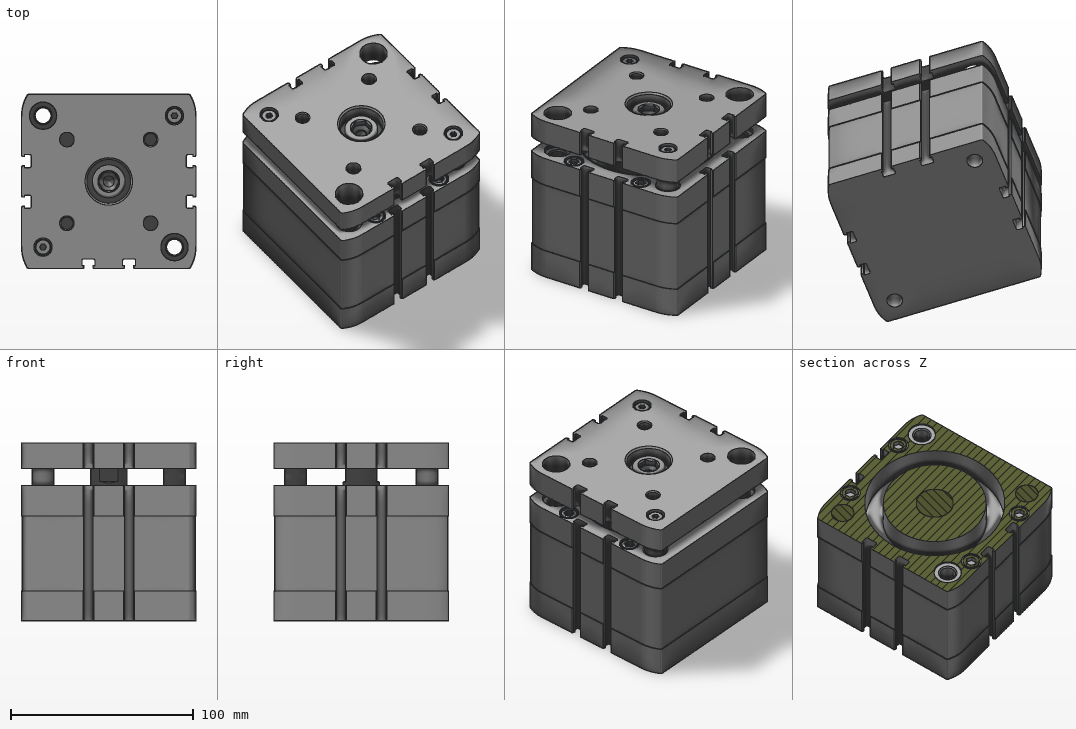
import cadquery as cq
import math

WIDTH = 95.5
HEIGHT = 97.4
HALF = WIDTH / 2
PLATE_THICKNESS = 14.0
HOUSING_HEIGHT = 74.1
PLATE_BOTTOM = HEIGHT - PLATE_THICKNESS

CORNER_ARC_RADIUS = 22.5
CORNER_ROUND = 1.4

BOTTOM_CAP_HEIGHT = 16.4
TOP_CAP_HEIGHT = 16.8
BARREL_INSET = 0.4

SLOT_OFFSET = 11.1
SLOT_MOUTH = 5.0
SLOT_MOUTH_CHAMFER = 0.5
SLOT_WIDTH = 7.0
SLOT_DEPTH = 5.3
SLOT_LIP = 1.7
SLOT_CORNER_ROUND = 0.8
SLOT_SIDES = (0, 90, 270)

CORNER_PITCH = 35.9
GUIDE_POINTS = [(-CORNER_PITCH, -CORNER_PITCH), (CORNER_PITCH, CORNER_PITCH)]
MOUNT_POINTS = [(-CORNER_PITCH, CORNER_PITCH), (CORNER_PITCH, -CORNER_PITCH)]
GUIDE_DIAMETER = 12.0
GUIDE_RECESS_DIAMETER = 13.6
GUIDE_RECESS_DEPTH = 0.2
MOUNT_DIAMETER = 8.6
MOUNT_COUNTERSINK_DIAMETER = 10.0
MOUNT_COUNTERBORE_DIAMETER = 14.8
MOUNT_COUNTERBORE_DEPTH = 2.4
PLATE_ACCESS_DIAMETER = 15.0

PISTON_DIAMETER = 20.0
PISTON_FLATS = 17.1
FLATS_BOTTOM = 76.2
FLATS_CHAMFER = 0.7
ROD_END = BOTTOM_CAP_HEIGHT

GROOVE_OUTER_DIAMETER = 77.9
GROOVE_INNER_DIAMETER = 56.5
GROOVE_DEPTH = TOP_CAP_HEIGHT
GROOVE_STEP = 0.8
GROOVE_STEP_DEPTH = 0.2

PLATE_HOLE_PITCH = 22.9
PIN_HOLE_POINTS = [(-PLATE_HOLE_PITCH, PLATE_HOLE_PITCH), (PLATE_HOLE_PITCH, -PLATE_HOLE_PITCH)]
THREAD_POINTS = [(-PLATE_HOLE_PITCH, -PLATE_HOLE_PITCH), (PLATE_HOLE_PITCH, PLATE_HOLE_PITCH)]
PIN_HOLE_DIAMETER = 8.0
THREAD_DIAMETER = 6.6

CENTRE_BORE_DIAMETER = 24.0
CENTRE_BORE_CHAMFER = 1.0
CENTRE_BORE_DEPTH = 8.8
HEAD_DIAMETER = 18.0
HEAD_ROUND = 1.0
HEAD_TOP = HEIGHT - 3.4
SOCKET_FLATS = 10.0
SOCKET_RIM_DIAMETER = 12.0
SOCKET_DEPTH = 4.0
DRILL_DIAMETER = 10.7
PILOT_DIAMETER = 6.0
PILOT_LENGTH = 1.0

PLATE_SCREW_BORE = 10.0
PLATE_SCREW_HEAD = 8.6
PLATE_SCREW_SUNK = 1.0
PLATE_SCREW_HEX = 3.2
CAP_SCREW_BORE = 10.7
CAP_SCREW_HEAD = 9.2
CAP_SCREW_SUNK = 0.3
CAP_SCREW_HEX = 5.0
SCREW_GAP_DEPTH = 1.5
SCREW_HEAD_CHAMFER = 0.4
HEX_DEPTH = 4.0
CAP_SCREW_X = 41.4
CAP_SCREW_Y = 21.8
CAP_SCREW_POINTS = [(sx * CAP_SCREW_X, sy * CAP_SCREW_Y) for sx in (-1, 1) for sy in (-1, 1)]


def cylinder(diameter, bottom, top, points=((0, 0),)):
    """Upright cylinders of one diameter between two heights."""
    plane = cq.Workplane("XY", origin=(0, 0, bottom))
    return plane.pushPoints(points).circle(diameter / 2).extrude(top - bottom)


def cone(bottom_diameter, top_diameter, bottom, top, points=((0, 0),)):
    """Upright cones, pointed where the bottom diameter is zero."""
    solid = cq.Solid.makeCone(bottom_diameter / 2, top_diameter / 2, top - bottom)
    plane = cq.Workplane("XY", origin=(0, 0, bottom))
    return plane.pushPoints(points).eachpoint(lambda place: solid.moved(place))


def hexagon(flats, bottom, top, points=((0, 0),)):
    """Upright hexagonal prisms with corners towards +X and -X."""
    corner_diameter = flats / math.cos(math.pi / 6)
    plane = cq.Workplane("XY", origin=(0, 0, bottom))
    return plane.pushPoints(points).polygon(6, corner_diameter).extrude(top - bottom)


def outline_block(bottom, top, inset=0):
    """Prism of the common outline, shrunk by an inset on every side."""
    half = HALF - inset
    radius = CORNER_ARC_RADIUS - inset
    arc_rise = half - CORNER_PITCH
    centre_x = half - radius
    end_x = centre_x + math.sqrt(radius**2 - arc_rise**2)
    mid_angle = math.asin(arc_rise / radius) / 2
    mid_x = centre_x + radius * math.cos(mid_angle)
    mid_y = CORNER_PITCH + radius * math.sin(mid_angle)
    return (
        cq.Workplane("XY", origin=(0, 0, bottom))
        .moveTo(half, -CORNER_PITCH)
        .lineTo(half, CORNER_PITCH)
        .threePointArc((mid_x, mid_y), (end_x, half))
        .lineTo(-end_x, half)
        .threePointArc((-mid_x, mid_y), (-half, CORNER_PITCH))
        .lineTo(-half, -CORNER_PITCH)
        .threePointArc((-mid_x, -mid_y), (-end_x, -half))
        .lineTo(end_x, -half)
        .threePointArc((mid_x, -mid_y), (half, -CORNER_PITCH))
        .close()
        .extrude(top - bottom)
        .edges("|Z and (>Y or <Y)")
        .fillet(CORNER_ROUND - inset)
    )


def slot_cutter():
    """Undercut slots over the full height, two on each slotted side."""
    pocket_height = SLOT_DEPTH - SLOT_LIP
    pocket = (
        cq.Workplane("XY")
        .center(0, -HALF + SLOT_LIP + pocket_height / 2)
        .rect(SLOT_WIDTH, pocket_height)
        .extrude(HEIGHT)
        .edges("|Z and >Y")
        .fillet(SLOT_CORNER_ROUND)
    )
    half_mouth = SLOT_MOUTH / 2
    half_flare = half_mouth + SLOT_MOUTH_CHAMFER
    mouth = (
        cq.Workplane("XY")
        .polyline(
            [
                (-half_flare, -HALF),
                (half_flare, -HALF),
                (half_mouth, -HALF + SLOT_MOUTH_CHAMFER),
                (half_mouth, -HALF + SLOT_DEPTH / 2),
                (-half_mouth, -HALF + SLOT_DEPTH / 2),
                (-half_mouth, -HALF + SLOT_MOUTH_CHAMFER),
            ]
        )
        .close()
        .extrude(HEIGHT)
    )
    slot = pocket.union(mouth)
    pair = slot.translate((-SLOT_OFFSET, 0, 0)).union(slot.translate((SLOT_OFFSET, 0, 0)))
    cutter = cq.Workplane("XY")
    for turn in SLOT_SIDES:
        cutter = cutter.add(pair.rotate((0, 0, 0), (0, 0, 1), turn))
    return cutter.combine()


def screw_recess(points, surface, bore, head, sunk, hex_flats):
    """Cutter that leaves a chamfered screw head with a hexagon socket in each counterbore."""
    gap_floor = surface - sunk - SCREW_GAP_DEPTH
    head_top = surface - sunk
    heads = cylinder(head, gap_floor, head_top, points).faces(">Z").edges().chamfer(SCREW_HEAD_CHAMFER)
    recess = cylinder(bore, gap_floor, surface, points).cut(heads)
    return recess.union(hexagon(hex_flats, head_top - HEX_DEPTH, surface, points))


def make_rods():
    """Piston rod with two wrench flats, and the two guide rods."""
    piston = cylinder(PISTON_DIAMETER, ROD_END, PLATE_BOTTOM)
    half_flats = PISTON_FLATS / 2
    radius = PISTON_DIAMETER / 2
    flat_cutter = (
        cq.Workplane("YZ")
        .polyline(
            [
                (half_flats, PLATE_BOTTOM),
                (half_flats, FLATS_BOTTOM),
                (radius - FLATS_CHAMFER, FLATS_BOTTOM),
                (radius, FLATS_BOTTOM - FLATS_CHAMFER),
                (radius, PLATE_BOTTOM),
            ]
        )
        .close()
        .extrude(radius, both=True)
    )
    piston = piston.cut(flat_cutter).cut(flat_cutter.mirror("XZ"))
    guides = cylinder(GUIDE_DIAMETER, ROD_END, PLATE_BOTTOM, GUIDE_POINTS)
    return piston.union(guides)


def cut_centre_screw(plate):
    """Central bore holding a screw head with a drilled hexagon socket."""
    floor = HEIGHT - CENTRE_BORE_DEPTH
    rim_diameter = CENTRE_BORE_DIAMETER + 2 * CENTRE_BORE_CHAMFER
    plate = plate.cut(cylinder(CENTRE_BORE_DIAMETER, floor, HEIGHT))
    plate = plate.cut(cone(CENTRE_BORE_DIAMETER, rim_diameter, HEIGHT - CENTRE_BORE_CHAMFER, HEIGHT))
    head = cylinder(HEAD_DIAMETER, floor, HEAD_TOP).faces(">Z").edges().fillet(HEAD_ROUND)
    plate = plate.union(head)
    socket_floor = HEAD_TOP - SOCKET_DEPTH
    rim_depth = (SOCKET_RIM_DIAMETER - SOCKET_FLATS) / 2
    plate = plate.cut(hexagon(SOCKET_FLATS, socket_floor, HEAD_TOP))
    plate = plate.cut(cone(SOCKET_FLATS, SOCKET_RIM_DIAMETER, HEAD_TOP - rim_depth, HEAD_TOP))
    point_slope = math.tan(math.pi / 6)
    sink_bottom = socket_floor - (DRILL_DIAMETER - PILOT_DIAMETER) / 2 * point_slope
    pilot_bottom = sink_bottom - PILOT_LENGTH
    tip = pilot_bottom - PILOT_DIAMETER / 2 * point_slope
    plate = plate.cut(cone(PILOT_DIAMETER, DRILL_DIAMETER, sink_bottom, socket_floor))
    plate = plate.cut(cylinder(PILOT_DIAMETER, pilot_bottom, sink_bottom))
    return plate.cut(cone(0, PILOT_DIAMETER, tip, pilot_bottom))


def make_moving_plate():
    """Front plate with its piston rod and guide rods."""
    plate = outline_block(PLATE_BOTTOM, HEIGHT).cut(slot_cutter())
    plate = plate.cut(cylinder(PLATE_ACCESS_DIAMETER, PLATE_BOTTOM, HEIGHT, MOUNT_POINTS))
    plate = plate.cut(cylinder(PIN_HOLE_DIAMETER, PLATE_BOTTOM, HEIGHT, PIN_HOLE_POINTS))
    plate = plate.cut(cylinder(THREAD_DIAMETER, PLATE_BOTTOM, HEIGHT, THREAD_POINTS))
    thread_chamfer = (PIN_HOLE_DIAMETER - THREAD_DIAMETER) / 2
    plate = plate.cut(
        cone(THREAD_DIAMETER, PIN_HOLE_DIAMETER, HEIGHT - thread_chamfer, HEIGHT, THREAD_POINTS)
    )
    plate = plate.cut(
        screw_recess(
            GUIDE_POINTS, HEIGHT, PLATE_SCREW_BORE, PLATE_SCREW_HEAD, PLATE_SCREW_SUNK, PLATE_SCREW_HEX
        )
    )
    return cut_centre_screw(plate).union(make_rods())


def make_housing():
    """Cylinder housing: two end caps, a slightly smaller barrel, and rod bores."""
    top_cap_bottom = HOUSING_HEIGHT - TOP_CAP_HEIGHT
    housing = outline_block(0, BOTTOM_CAP_HEIGHT)
    housing = housing.union(outline_block(BOTTOM_CAP_HEIGHT, top_cap_bottom, BARREL_INSET))
    housing = housing.union(outline_block(top_cap_bottom, HOUSING_HEIGHT))
    housing = housing.cut(slot_cutter())

    housing = housing.cut(cylinder(PISTON_DIAMETER, ROD_END, HOUSING_HEIGHT))
    housing = housing.cut(cylinder(GUIDE_DIAMETER, ROD_END, HOUSING_HEIGHT, GUIDE_POINTS))
    recess_floor = HOUSING_HEIGHT - GUIDE_RECESS_DEPTH
    housing = housing.cut(cylinder(GUIDE_RECESS_DIAMETER, recess_floor, HOUSING_HEIGHT, GUIDE_POINTS))

    groove_bottom = HOUSING_HEIGHT - GROOVE_DEPTH
    step_floor = HOUSING_HEIGHT - GROOVE_STEP_DEPTH
    groove = cylinder(GROOVE_OUTER_DIAMETER - 2 * GROOVE_STEP, groove_bottom, HOUSING_HEIGHT)
    groove = groove.union(cylinder(GROOVE_OUTER_DIAMETER, step_floor, HOUSING_HEIGHT))
    groove = groove.cut(cylinder(GROOVE_INNER_DIAMETER, groove_bottom, HOUSING_HEIGHT))
    housing = housing.cut(groove)

    mount_floor = HOUSING_HEIGHT - MOUNT_COUNTERBORE_DEPTH
    sink_depth = (MOUNT_COUNTERSINK_DIAMETER - MOUNT_DIAMETER) / 2
    housing = housing.cut(cylinder(MOUNT_DIAMETER, 0, HOUSING_HEIGHT, MOUNT_POINTS))
    housing = housing.cut(cylinder(MOUNT_COUNTERBORE_DIAMETER, mount_floor, HOUSING_HEIGHT, MOUNT_POINTS))
    housing = housing.cut(
        cone(MOUNT_DIAMETER, MOUNT_COUNTERSINK_DIAMETER, mount_floor - sink_depth, mount_floor, MOUNT_POINTS)
    )
    return housing.cut(
        screw_recess(
            CAP_SCREW_POINTS, HOUSING_HEIGHT, CAP_SCREW_BORE, CAP_SCREW_HEAD, CAP_SCREW_SUNK, CAP_SCREW_HEX
        )
    )


housing = make_housing()
moving_plate = make_moving_plate()
result = cq.Compound.makeCompound([housing.solids().val(), moving_plate.solids().val()])